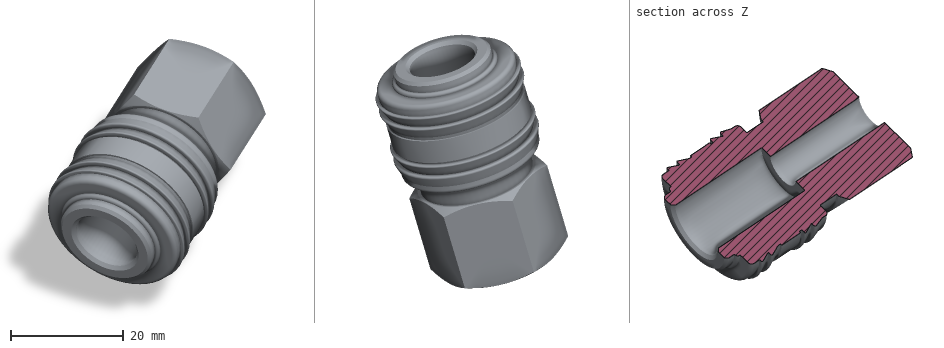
import cadquery as cq
import math

total_length = 41.0

nose_radius = 8.98
nose_chamfer = 0.55
step_start = 1.9
step_radius = 9.75
step_round = 0.6

sleeve_front = 2.6
sleeve_back = 20.6
sleeve_radius = 12.75
sleeve_round = 0.75
band_front = 9.65
band_back = 14.1
band_radius = 12.85
groove_radius = 12.45

tooth_fronts = (4.6, 6.85, 14.55, 16.8)
tooth_radius = 13.4
tooth_length = 2.25
tooth_peak_radius = 13.55

neck_radius = 10.35
hex_start = 24.3
hex_across_flats = 22.0
hex_corner_radius = hex_across_flats / math.sqrt(3)
hex_end_radius = 10.9
hex_bevel_angle = 30.0

socket_radius = 6.03
socket_mouth_radius = 6.65
socket_depth = 20.5
through_radius = 3.53


def cylinder(radius, start, end):
    """Solid cylinder along +Y between two stations."""
    return cq.Workplane("XZ", origin=(0, start, 0)).circle(radius).extrude(start - end)


def revolve(profile):
    """Turn a closed (radius, Y) profile about the Y axis."""
    return profile.close().revolve(360, (0, 0, 0), (0, 1, 0))


def make_tooth(front, root_radius):
    """Ring with a flat front and a rounded tip that tapers backwards to the root radius."""
    back = front + tooth_length
    tooth = revolve(
        cq.Workplane("XY")
        .moveTo(0, front)
        .lineTo(tooth_peak_radius, front)
        .lineTo(root_radius, back)
        .lineTo(0, back)
    )
    taper_angle = math.atan2(tooth_peak_radius - root_radius, tooth_length)
    radius_loss_per_round = math.tan(taper_angle) + 1 / math.cos(taper_angle) - 1
    tip_round = (tooth_peak_radius - tooth_radius) / radius_loss_per_round
    return tooth.faces("<Y").edges().fillet(tip_round)


def make_nose():
    nose = cylinder(nose_radius, 0, sleeve_front).faces("<Y").chamfer(nose_chamfer)
    step = cylinder(step_radius, step_start, sleeve_front).faces("<Y").edges().fillet(step_round)
    return nose.union(step)


def make_sleeve():
    front_end = cylinder(sleeve_radius, sleeve_front, tooth_fronts[0])
    front_end = front_end.faces("<Y").edges().fillet(sleeve_round)
    back_end = cylinder(sleeve_radius, tooth_fronts[-1] + tooth_length, sleeve_back)
    back_end = back_end.faces(">Y").edges().fillet(sleeve_round)
    sleeve = cylinder(groove_radius, tooth_fronts[0], tooth_fronts[-1] + tooth_length)
    sleeve = sleeve.union(front_end).union(back_end)
    sleeve = sleeve.union(cylinder(band_radius, band_front, band_back))
    for front in tooth_fronts:
        root_radius = sleeve_radius if front == tooth_fronts[-1] else groove_radius
        sleeve = sleeve.union(make_tooth(front, root_radius))
    return sleeve


def make_hexagon():
    """Hexagon with corners on the X axis, bevelled conically at both ends."""
    hexagon = (
        cq.Workplane("XZ", origin=(0, hex_start, 0))
        .polygon(6, 2 * hex_corner_radius)
        .extrude(hex_start - total_length)
    )
    bevel_depth = (hex_corner_radius - hex_end_radius) * math.tan(math.radians(hex_bevel_angle))
    envelope = revolve(
        cq.Workplane("XY")
        .moveTo(0, hex_start)
        .lineTo(hex_end_radius, hex_start)
        .lineTo(hex_corner_radius, hex_start + bevel_depth)
        .lineTo(hex_corner_radius, total_length - bevel_depth)
        .lineTo(hex_end_radius, total_length)
        .lineTo(0, total_length)
    )
    return hexagon.intersect(envelope)


def make_bore():
    """Socket with a 45 degree mouth, followed by a smaller through hole."""
    socket = revolve(
        cq.Workplane("XY")
        .lineTo(socket_mouth_radius, 0)
        .lineTo(socket_radius, socket_mouth_radius - socket_radius)
        .lineTo(socket_radius, socket_depth)
        .lineTo(0, socket_depth)
    )
    return socket.union(cylinder(through_radius, 0, total_length))


neck = cylinder(neck_radius, sleeve_back, hex_start)
body = make_nose().union(make_sleeve()).union(neck).union(make_hexagon())
result = body.cut(make_bore())